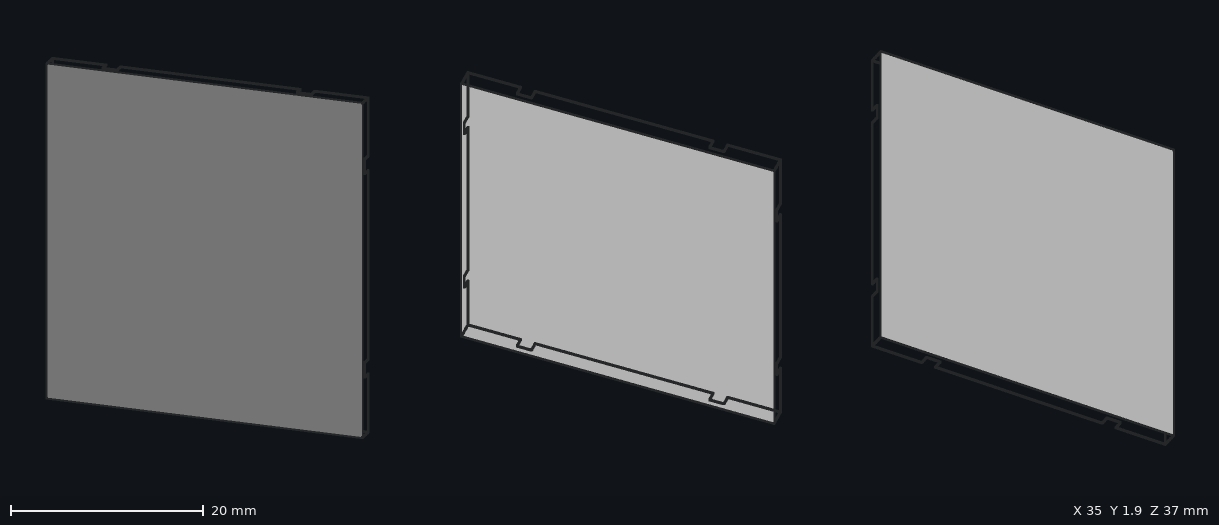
import cadquery as cq

width = 35.0
depth = 1.9
height = 37.0

thickness = 0.1

notch_gap = 1.5
notch_depth = 1.05
notch_inset_x = 6.0
notch_inset_z = 6.5


def notched_slab(plane, length, inset):
    """Solid slab, one wire thick, with two notches in its back edge."""
    notch_center = length / 2 - inset - notch_gap / 2
    slab = cq.Workplane(plane).center(0, depth / 2).rect(length, depth).extrude(thickness)
    notches = (
        cq.Workplane(plane)
        .pushPoints([(side * notch_center, depth - notch_depth / 2) for side in (-1, 1)])
        .rect(notch_gap, notch_depth)
        .extrude(thickness)
    )
    return slab.cut(notches)


def wire_loop(plane, length, inset):
    """Closed wire that follows the notched outline, with an open middle."""
    slab = notched_slab(plane, length, inset)
    opening = (
        slab.faces(cq.selectors.DirectionMinMaxSelector(plane.zDir, True))
        .wires()
        .toPending()
        .offset2D(-thickness)
        .extrude(-thickness, combine=False)
    )
    return slab.cut(opening)


result = cq.Workplane("XY").box(width, thickness, height).translate((0, thickness / 2, 0))

for base_z in (-height / 2, height / 2 - thickness):
    loop_plane = cq.Plane(origin=(0, 0, base_z), xDir=(1, 0, 0), normal=(0, 0, 1))
    result = result.union(wire_loop(loop_plane, width, notch_inset_x))

for base_x in (-width / 2, width / 2 - thickness):
    loop_plane = cq.Plane(origin=(base_x, 0, 0), xDir=(0, 0, -1), normal=(1, 0, 0))
    result = result.union(wire_loop(loop_plane, height, notch_inset_z))